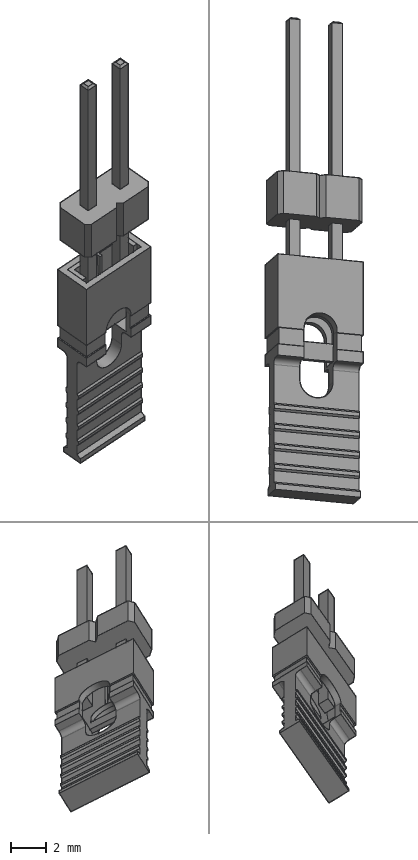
import cadquery as cq


total_height = 28.13
header_length = 5.05
pitch = header_length / 2
jumper_length = 5.1

header_width = 2.53
header_bottom = 16.17
header_top = 18.7
lobe_chamfer = 0.28
pin_size = 0.65
pin_bottom = 11.25
tip_chamfer = 0.15
tip_height = 0.1

housing_width = 2.33
housing_top = 13.78
housing_bottom = 7.8
groove_top = 9.45
groove_bottom = 8.47
groove_depth = 0.08
rim_wall = 0.4
cavity_floor = 7.95

blade_thickness = 0.8
blade_fillet = 0.35
rib_depth = 0.1
rib_crest = 0.23
lowest_rib = 1.4
rib_pitch = 1.18
rib_count = 4
foot_depth = 0.28
foot_slope = 0.17
foot_height = 0.35

slot_width = 1.97
slot_top = 10.52
slot_bottom = 5.75

sheet_thickness = 0.28
flange_thickness = 0.28
flange_end = 0.45
spur_end = -0.25
spur_thickness = 0.17
bar_top = 8.97

cavity_length = jumper_length - 2 * rim_wall
mouth_x = housing_width / 2 - rim_wall
floor_x = blade_thickness / 2


def box_between(x_range, y_range, z_range):
    """Box spanning the given (low, high) ranges."""
    corner = (x_range[0], y_range[0], z_range[0])
    size = [high - low for low, high in (x_range, y_range, z_range)]
    return cq.Workplane("XY").box(*size, centered=False).translate(corner)


def centred_box(width, length, bottom, top):
    """Box centred on the Z axis between two heights."""
    return box_between((-width / 2, width / 2), (-length / 2, length / 2), (bottom, top))


def extrude_along_y(points, length):
    """Solid from an (x, z) outline, centred on the XZ plane."""
    return cq.Workplane("XZ").polyline(points).close().extrude(length / 2, both=True)


def slot_cutter(bottom, top):
    """Round-ended slot running right through along X."""
    return (
        cq.Workplane("YZ")
        .center(0, (bottom + top) / 2)
        .slot2D(top - bottom, slot_width, 90)
        .extrude(housing_width, both=True)
    )



def make_pin():
    shoulder = total_height - tip_height
    tip_size = pin_size - 2 * tip_chamfer
    shaft = centred_box(pin_size, pin_size, pin_bottom, shoulder)
    tip = (
        cq.Workplane("XY", origin=(0, 0, shoulder))
        .rect(pin_size, pin_size)
        .workplane(offset=tip_height)
        .rect(tip_size, tip_size)
        .loft(ruled=True)
    )
    return shaft.union(tip)


def make_header():
    lobe = centred_box(header_width, pitch, header_bottom, header_top)
    pole = lobe.edges("|Z").chamfer(lobe_chamfer).union(make_pin())
    return pole.translate((0, -pitch / 2, 0)).union(pole.translate((0, pitch / 2, 0)))



def make_shell():
    shell = centred_box(housing_width, jumper_length, housing_bottom, housing_top)
    groove = centred_box(housing_width, jumper_length, groove_bottom, groove_top).cut(
        centred_box(
            housing_width - 2 * groove_depth,
            jumper_length - 2 * groove_depth,
            groove_bottom,
            groove_top,
        )
    )
    return shell.cut(groove)


def make_cavity():
    outline = [
        (-mouth_x, housing_top),
        (-floor_x, cavity_floor),
        (mouth_x, cavity_floor),
        (mouth_x, housing_top),
    ]
    return extrude_along_y(outline, cavity_length)


def make_blade():
    half = blade_thickness / 2
    blade = centred_box(blade_thickness, jumper_length, 0, housing_bottom)
    root = (
        cq.Workplane("XZ")
        .moveTo(-half - blade_fillet, housing_bottom)
        .radiusArc((-half, housing_bottom - blade_fillet), blade_fillet)
        .lineTo(half, housing_bottom - blade_fillet)
        .radiusArc((half + blade_fillet, housing_bottom), blade_fillet)
        .close()
        .extrude(jumper_length / 2, both=True)
    )
    return blade.union(root)


def make_rib(height):
    """Pair of trapezoidal grip ribs, one on each face of the blade."""
    root_x = blade_thickness / 2
    crest_x = root_x + rib_depth
    crest_half = rib_crest / 2
    root_half = crest_half + rib_depth
    outline = [
        (-root_x, height - root_half),
        (-crest_x, height - crest_half),
        (-crest_x, height + crest_half),
        (-root_x, height + root_half),
        (root_x, height + root_half),
        (crest_x, height + crest_half),
        (crest_x, height - crest_half),
        (root_x, height - root_half),
    ]
    return extrude_along_y(outline, jumper_length)


def make_foot():
    root_x = blade_thickness / 2
    foot_x = root_x + foot_depth
    outline = [
        (-foot_x, 0),
        (-foot_x, foot_height),
        (-root_x, foot_height + foot_slope),
        (root_x, foot_height + foot_slope),
        (foot_x, foot_height),
        (foot_x, 0),
    ]
    return extrude_along_y(outline, jumper_length)


def make_housing():
    housing = make_shell().union(make_blade()).union(make_foot())
    for i in range(rib_count):
        housing = housing.union(make_rib(lowest_rib + i * rib_pitch))
    return housing.cut(make_cavity()).cut(slot_cutter(slot_bottom, slot_top))



def make_contact():
    sheet = extrude_along_y(
        [
            (-mouth_x, housing_top),
            (-floor_x, cavity_floor),
            (-floor_x + sheet_thickness, cavity_floor),
            (-mouth_x + sheet_thickness, housing_top),
        ],
        cavity_length,
    )
    half = cavity_length / 2
    heights = (cavity_floor, housing_top)
    inner_half = half - flange_thickness
    flanges = box_between((-mouth_x, flange_end), (inner_half, half), heights).union(
        box_between((-mouth_x, flange_end), (-half, -inner_half), heights)
    )
    spur = box_between(
        (-mouth_x, spur_end), (-spur_thickness / 2, spur_thickness / 2), (slot_top, housing_top)
    )
    contact = sheet.union(flanges).union(spur).intersect(make_cavity())
    window = slot_cutter(slot_bottom, slot_top).intersect(
        centred_box(housing_width, jumper_length, bar_top, slot_top)
    )
    return contact.cut(window)


header = make_header()
housing = make_housing()
contact = make_contact()

bodies = [body.solids().val() for body in (header, housing, contact)]
result = cq.Compound.makeCompound(bodies)